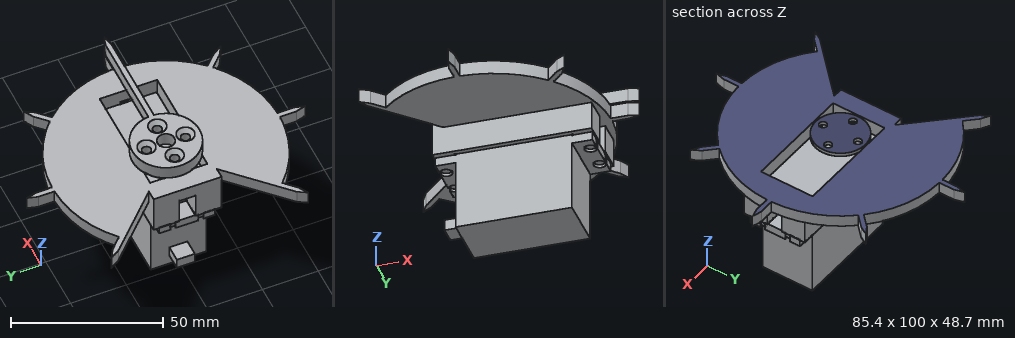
import cadquery as cq
import math


spoke_reach = 50.0
spoke_width = 2.0
spoke_tip_length = 3.7

dial_radius = 40.5
dial_thickness = 5.0
spoke_angles = range(-135, 136, 45)

servo_length = 40.0
servo_width = 20.0
servo_center_x = 10.0
servo_top_z = -5.6
servo_body_below_flange = 25.0
flange_length = 54.0
flange_thickness = 3.1
flange_slot_width = 1.8
shaft_diameter = 6.0
horn_diameter = 20.0
horn_thickness = 2.5
horn_top_z = 0.6
horn_hole_diameter = 2.7
plug_length = 6.0
plug_width = 6.5
plug_height = 4.0
plug_above_bottom = 4.0

block_end_margin = 0.4
block_wall = 1.9
window_gap = 0.3
block_height = 15.0
cable_slot_width = 5.8
peg_diameter = 4.2
peg_length = 2.0

peg_spacing_x = 49.6
peg_spacing_y = 10.0

pointer_disc_diameter = 24.0
pointer_thickness = 5.0
center_hole_diameter = 6.0
screw_hole_diameter = 3.2
countersink_diameter = 6.2
countersink_angle = 90.0
screw_offset = 7.0

window_length = servo_length + 2 * window_gap
window_width = servo_width + 2 * window_gap
block_length = flange_length + 2 * block_end_margin
block_width = window_width + 2 * block_wall
flange_top_z = -block_height
flange_bottom_z = flange_top_z - flange_thickness
servo_bottom_z = flange_bottom_z - servo_body_below_flange
screw_points = [(screw_offset, 0), (0, screw_offset), (-screw_offset, 0), (0, -screw_offset)]
peg_points = [
    (servo_center_x + side_x * peg_spacing_x / 2, side_y * peg_spacing_y / 2)
    for side_x in (-1, 1)
    for side_y in (-1, 1)
]


def box(length, width, bottom_z, top_z, center_x=servo_center_x):
    """Upright box centered on y = 0."""
    return (
        cq.Workplane("XY", origin=(center_x, 0, bottom_z))
        .rect(length, width)
        .extrude(top_z - bottom_z)
    )


def spoke(bottom_z, thickness, angle=0):
    """Flat bar from the axis outward, ending in a sharp tip."""
    half_width = spoke_width / 2
    shoulder_x = spoke_reach - spoke_tip_length
    return (
        cq.Workplane("XY", origin=(0, 0, bottom_z))
        .polyline([
            (0, -half_width),
            (shoulder_x, -half_width),
            (spoke_reach, 0),
            (shoulder_x, half_width),
            (0, half_width),
        ])
        .close()
        .extrude(thickness)
        .rotate((0, 0, 0), (0, 0, 1), angle)
    )


def make_dial():
    """Disc whose missing sector is bounded by the outer edges of the two end spokes."""
    sector_apex_x = -spoke_width / 2 * math.sqrt(2)
    sector_end_x = sector_apex_x - spoke_reach
    sector = (
        cq.Workplane("XY", origin=(0, 0, -dial_thickness))
        .polyline([(sector_apex_x, 0), (sector_end_x, spoke_reach), (sector_end_x, -spoke_reach)])
        .close()
        .extrude(dial_thickness)
    )
    disc = (
        cq.Workplane("XY", origin=(0, 0, -dial_thickness))
        .circle(dial_radius)
        .extrude(dial_thickness)
        .cut(sector)
    )
    for angle in spoke_angles:
        disc = disc.union(spoke(-dial_thickness, dial_thickness, angle))
    return disc


def make_housing():
    """Dial and mounting block in one piece, with the servo window and the locating pegs."""
    block = box(block_length, block_width, flange_top_z, 0)
    window = box(window_length, window_width, flange_top_z, 0)
    cable_slot = box(block_length, cable_slot_width, flange_top_z, -dial_thickness)
    pegs = (
        cq.Workplane("XY", origin=(0, 0, flange_top_z))
        .pushPoints(peg_points)
        .circle(peg_diameter / 2)
        .extrude(-peg_length)
    )
    return make_dial().union(block).cut(window).cut(cable_slot).union(pegs)


def make_servo():
    """Servo body with slotted flange, output shaft, round horn and cable plug."""
    body = box(servo_length, servo_width, servo_bottom_z, servo_top_z)

    flange = box(flange_length, servo_width, flange_bottom_z, flange_top_z)
    flange_holes = (
        cq.Workplane("XY", origin=(0, 0, flange_bottom_z))
        .pushPoints(peg_points)
        .circle(peg_diameter / 2)
        .extrude(flange_thickness)
    )
    end_slots = (
        cq.Workplane("XY", origin=(servo_center_x, 0, flange_bottom_z))
        .pushPoints([(0, -peg_spacing_y / 2), (0, peg_spacing_y / 2)])
        .rect(flange_length, flange_slot_width)
        .extrude(flange_thickness)
        .cut(box(peg_spacing_x, servo_width, flange_bottom_z, flange_top_z))
    )
    flange = flange.cut(flange_holes).cut(end_slots)

    horn_bottom_z = horn_top_z - horn_thickness
    shaft = (
        cq.Workplane("XY", origin=(0, 0, servo_top_z))
        .circle(shaft_diameter / 2)
        .extrude(horn_bottom_z - servo_top_z)
    )
    horn = (
        cq.Workplane("XY", origin=(0, 0, horn_bottom_z))
        .circle(horn_diameter / 2)
        .pushPoints(screw_points)
        .circle(horn_hole_diameter / 2)
        .extrude(horn_thickness)
    )

    plug_bottom_z = servo_bottom_z + plug_above_bottom
    plug_center_x = servo_center_x - servo_length / 2 - plug_length / 2
    plug = box(plug_length, plug_width, plug_bottom_z, plug_bottom_z + plug_height, plug_center_x)

    return body.union(flange).union(shaft).union(horn).union(plug)


def make_pointer():
    """Disc with one arrow arm, a center hole and four countersunk screw holes."""
    return (
        cq.Workplane("XY", origin=(0, 0, horn_top_z))
        .circle(pointer_disc_diameter / 2)
        .extrude(pointer_thickness)
        .union(spoke(horn_top_z, pointer_thickness))
        .faces(">Z")
        .workplane(origin=(0, 0, 0))
        .hole(center_hole_diameter)
        .pushPoints(screw_points)
        .cskHole(screw_hole_diameter, countersink_diameter, countersink_angle)
    )


housing = make_housing()
servo = make_servo()
pointer = make_pointer()

result = cq.Compound.makeCompound([body.solids().val() for body in (housing, servo, pointer)])